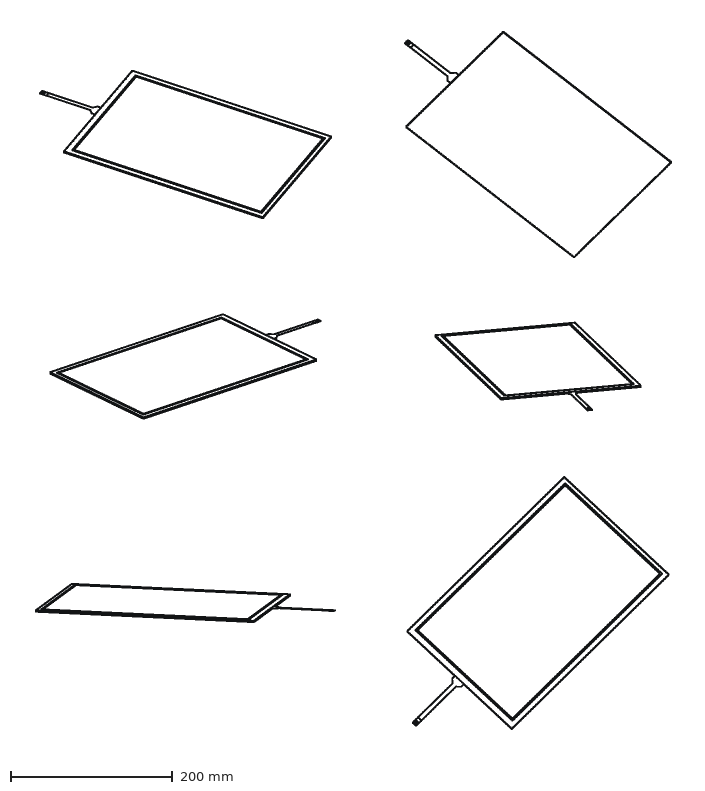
import cadquery as cq

TOTAL_LENGTH = 358.4
PANEL_WIDTH = 180.7
PANEL_THICKNESS = 2.1
TAIL_LENGTH = 80.0

GROOVE_WIDTH = 2.0
GROOVE_DEPTH = 0.1
MARGIN_LEFT = 7.9
MARGIN_RIGHT = 5.1
MARGIN_SIDE = 6.5

TAIL_THICKNESS = 0.1
TAIL_TOP_DROP = 0.2
TAIL_WIDTH = 6.0
FLARE_WIDTH = 15.6
FLARE_LENGTH = 5.0
TAPER_LENGTH = 4.4

STIFFENER_LENGTH = 9.5
STIFFENER_THICKNESS = 0.2

PAD_COUNT = 4
PAD_PITCH = 1.25
PAD_WIDTH = 0.8
PAD_LENGTH = 5.0
PAD_HEIGHT = 0.05

X_TAIL_END = -TOTAL_LENGTH / 2
X_PANEL_LEFT = X_TAIL_END + TAIL_LENGTH
X_PANEL_RIGHT = TOTAL_LENGTH / 2
Z_TOP = PANEL_THICKNESS / 2
Z_TAIL_TOP = Z_TOP - TAIL_TOP_DROP
Z_TAIL_BOTTOM = Z_TAIL_TOP - TAIL_THICKNESS


def box_between(x_min, x_max, y_min, y_max, z_min, z_max):
    """Axis-aligned box given by its limits."""
    size = (x_max - x_min, y_max - y_min, z_max - z_min)
    return cq.Workplane("XY").box(*size, centered=False).translate((x_min, y_min, z_min))


def make_inset_block(inset):
    """Groove-deep block inside the panel margins, shrunk by inset on every side."""
    half_width = PANEL_WIDTH / 2 - MARGIN_SIDE - inset
    return box_between(
        X_PANEL_LEFT + MARGIN_LEFT + inset,
        X_PANEL_RIGHT - MARGIN_RIGHT - inset,
        -half_width,
        half_width,
        Z_TOP - GROOVE_DEPTH,
        Z_TOP,
    )


def make_panel():
    """Flat plate with a rectangular groove around its active area."""
    half_width = PANEL_WIDTH / 2
    plate = box_between(X_PANEL_LEFT, X_PANEL_RIGHT, -half_width, half_width, -Z_TOP, Z_TOP)
    groove = make_inset_block(0).cut(make_inset_block(GROOVE_WIDTH))
    return plate.cut(groove)


def make_tail():
    """Thin strip that flares out where it meets the panel."""
    x_flare = X_PANEL_LEFT - FLARE_LENGTH
    x_taper = x_flare - TAPER_LENGTH
    half_tail = TAIL_WIDTH / 2
    half_flare = FLARE_WIDTH / 2
    outline = [
        (X_TAIL_END, -half_tail),
        (x_taper, -half_tail),
        (x_flare, -half_flare),
        (X_PANEL_LEFT, -half_flare),
        (X_PANEL_LEFT, half_flare),
        (x_flare, half_flare),
        (x_taper, half_tail),
        (X_TAIL_END, half_tail),
    ]
    strip = cq.Workplane("XY").polyline(outline).close().extrude(TAIL_THICKNESS)
    return strip.translate((0, 0, Z_TAIL_BOTTOM))


def make_stiffener():
    """Backing plate under the free end of the tail."""
    return box_between(
        X_TAIL_END,
        X_TAIL_END + STIFFENER_LENGTH,
        -TAIL_WIDTH / 2,
        TAIL_WIDTH / 2,
        Z_TAIL_BOTTOM - STIFFENER_THICKNESS,
        Z_TAIL_BOTTOM,
    )


def make_pads():
    """Row of raised contact strips on the free end of the tail."""
    pads = cq.Workplane("XY")
    for index in range(PAD_COUNT):
        y_center = (index - (PAD_COUNT - 1) / 2) * PAD_PITCH
        pad = box_between(
            X_TAIL_END,
            X_TAIL_END + PAD_LENGTH,
            y_center - PAD_WIDTH / 2,
            y_center + PAD_WIDTH / 2,
            Z_TAIL_TOP,
            Z_TAIL_TOP + PAD_HEIGHT,
        )
        pads = pads.add(pad)
    return pads.combine()


result = make_panel().union(make_tail()).union(make_stiffener()).union(make_pads())